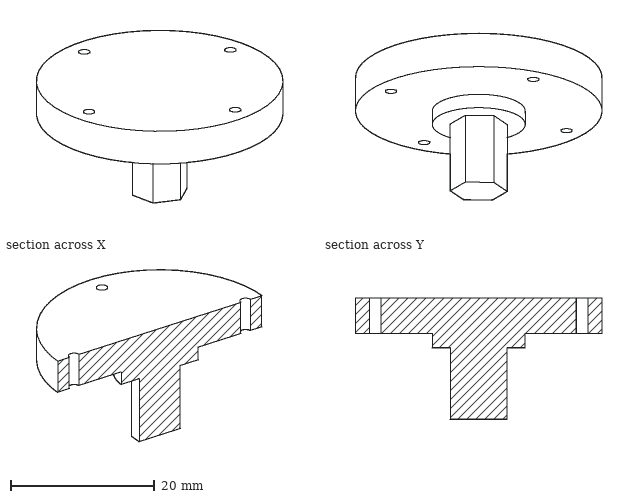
import cadquery as cq

flange_diameter = 34.5
flange_thickness = 5.0

hole_diameter = 1.6
hole_circle_radius = 14.45
hole_count = 4

collar_diameter = 13.0
collar_height = 2.0

shank_across_corners = 8.0
shank_length = 10.0

collar_bottom = shank_length
flange_bottom = collar_bottom + collar_height


def make_disc(diameter, height, bottom):
    return cq.Workplane("XY").workplane(offset=bottom).circle(diameter / 2).extrude(height)


def make_shank():
    return cq.Workplane("XY").polygon(6, shank_across_corners).extrude(shank_length)


def make_flange():
    holes = (
        cq.Workplane("XY")
        .workplane(offset=flange_bottom)
        .polarArray(hole_circle_radius, 0, 360, hole_count)
        .circle(hole_diameter / 2)
        .extrude(flange_thickness)
    )
    return make_disc(flange_diameter, flange_thickness, flange_bottom).cut(holes)


collar = make_disc(collar_diameter, collar_height, collar_bottom)
result = make_shank().union(collar).union(make_flange())